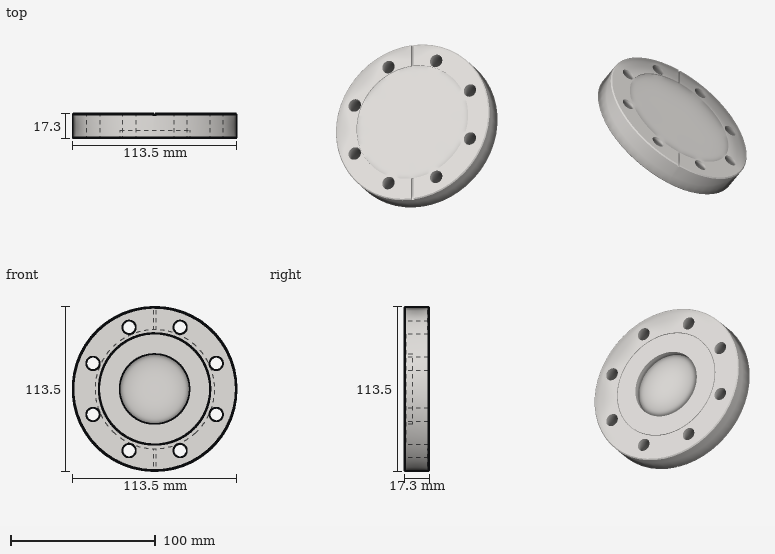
import cadquery as cq

flange_diameter = 113.54
flange_thickness = 17.27
rim_chamfer = 0.75

bolt_count = 8
bolt_hole_diameter = 9.1
bolt_circle_diameter = 92.2

ring_groove_outer_diameter = 77.4
ring_groove_width = 0.5
ring_groove_depth = 1.0

bore_diameter = 48.4
bore_depth = 5.5

gasket_recess_diameter = 82.5
gasket_recess_depth = 0.7
leak_groove_width = 1.6
leak_groove_depth = 1.37

front_y = -flange_thickness / 2
rear_y = flange_thickness / 2


def plane_at(y):
    """Plane across the flange axis; its X is part X, its Y is part Z, its normal is -Y."""
    return cq.Plane(origin=(0, y, 0), xDir=(1, 0, 0), normal=(0, -1, 0))


def cylinder(diameter, start_y, length):
    """Cylinder on the flange axis, running from start_y towards +Y."""
    return cq.Workplane(plane_at(start_y)).circle(diameter / 2).extrude(-length)


def flange_disc():
    return cylinder(flange_diameter, front_y, flange_thickness).faces("<Y or >Y").chamfer(rim_chamfer)


def bolt_holes():
    first_angle = 180 / bolt_count
    return (
        cq.Workplane(plane_at(front_y))
        .polarArray(bolt_circle_diameter / 2, first_angle, 360, bolt_count)
        .circle(bolt_hole_diameter / 2)
        .extrude(-flange_thickness)
    )


def ring_groove():
    inner_diameter = ring_groove_outer_diameter - 2 * ring_groove_width
    outer = cylinder(ring_groove_outer_diameter, front_y, ring_groove_depth)
    return outer.cut(cylinder(inner_diameter, front_y, ring_groove_depth))


def blind_bore():
    return cylinder(bore_diameter, front_y, bore_depth)


def gasket_recess():
    return cylinder(gasket_recess_diameter, rear_y - gasket_recess_depth, gasket_recess_depth)


def leak_grooves():
    """Two radial grooves in the rear face, each ending at the edge of the gasket recess."""
    floor_y = rear_y - leak_groove_depth
    slot = cq.Workplane(plane_at(floor_y)).rect(leak_groove_width, flange_diameter).extrude(-leak_groove_depth)
    return slot.cut(cylinder(gasket_recess_diameter, floor_y, leak_groove_depth))


result = (
    flange_disc()
    .cut(bolt_holes())
    .cut(ring_groove())
    .cut(blind_bore())
    .cut(gasket_recess())
    .cut(leak_grooves())
)